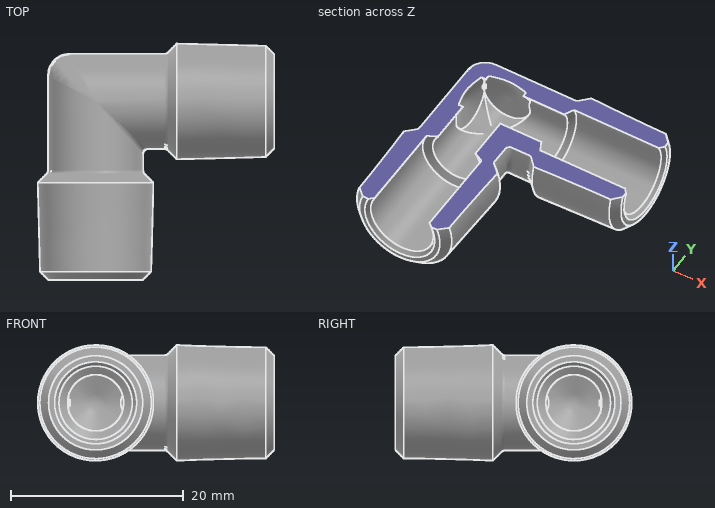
import cadquery as cq
import math

leg_length = 20.7
neck_radius = 5.53
collar_radius = 6.715
spigot_length = 11.3
spigot_taper = 1.43
end_chamfer = 1.0
neck_fillet = 0.5

outer_corner_radius = 2.5
inner_corner_radius = 0.5

bore_radius = 4.25
bore_depth = 12.0
floor_angle = 118.0
bore_chamfer = 0.5
drill_radius = 3.25
drill_overrun = 3.126
drill_point_angle = 140.0

collar_start = leg_length - spigot_length
shoulder_start = collar_start - (collar_radius - neck_radius)
seam_tolerance = 1e-6
clearance = 2 * leg_length


def revolve_about_x(half_profile):
    """Revolve an (axial, radial) half profile about the X axis."""
    return cq.Workplane("XY").polyline(half_profile).close().revolve(360, (0, 0, 0), (1, 0, 0))


def on_both_legs(leg_shape):
    """Unite a +X leg shape with its mirror image on the -Y leg."""
    second = leg_shape.rotate((0, 0, 0), (1, 0, 0), 180).rotate((0, 0, 0), (0, 0, 1), -90)
    return leg_shape.union(second)


def mitred_necks():
    """Two plain cylinders cut and joined on the mitre plane, with a sharp seam."""
    rod = (
        cq.Workplane("YZ")
        .workplane(offset=-neck_radius)
        .circle(neck_radius)
        .extrude(neck_radius + collar_start)
    )
    mitre_side = (
        cq.Workplane("XY")
        .polyline([(-clearance, clearance), (clearance, clearance), (clearance, -clearance)])
        .close()
        .extrude(clearance, both=True)
    )
    return on_both_legs(rod.intersect(mitre_side))


def round_seam(body, radius):
    """Fillet the elliptical seam edges lying on the mitre plane."""
    seam = [
        edge for edge in body.edges("%ELLIPSE").vals()
        if abs(edge.Center().x + edge.Center().y) < seam_tolerance
    ]
    return body.newObject(seam).fillet(radius)


def elbow():
    """Mitred necks with both sides of the seam rounded.

    The seam fades out tangentially above and below the origin, so the outer and
    inner corners are rounded as separate pieces and then joined.
    """
    necks = mitred_necks()
    inner_quadrant = (
        cq.Workplane("XY")
        .rect(clearance, -clearance, centered=False)
        .extrude(clearance, both=True)
    )
    outer_corner = round_seam(necks.cut(inner_quadrant), outer_corner_radius)
    inner_corner = round_seam(necks.intersect(inner_quadrant), inner_corner_radius)
    return outer_corner.union(inner_corner)


def neck_fillet_ring():
    """Concave ring that blends the neck into the 45 degree shoulder."""
    shoulder_angle = math.radians(45)
    setback = neck_fillet * math.tan(shoulder_angle / 2)
    ring_start = shoulder_start - setback
    arc_centre_radius = neck_radius + neck_fillet

    def arc_point(angle):
        return (
            ring_start + neck_fillet * math.sin(angle),
            arc_centre_radius - neck_fillet * math.cos(angle),
        )

    ring_end, ring_top = arc_point(shoulder_angle)
    return (
        cq.Workplane("XY")
        .moveTo(ring_start, 0)
        .lineTo(ring_start, neck_radius)
        .threePointArc(arc_point(shoulder_angle / 2), (ring_end, ring_top))
        .lineTo(ring_end, 0)
        .close()
        .revolve(360, (0, 0, 0), (1, 0, 0))
    )


def spigot():
    """Shoulder, tapered spigot and end chamfer of the +X leg."""
    chamfer_start = leg_length - end_chamfer
    taper_drop = (spigot_length - end_chamfer) * math.tan(math.radians(spigot_taper))
    chamfer_radius = collar_radius - taper_drop
    body = revolve_about_x([
        (shoulder_start, 0),
        (shoulder_start, neck_radius),
        (collar_start, collar_radius),
        (chamfer_start, chamfer_radius),
        (leg_length, chamfer_radius - end_chamfer),
        (leg_length, 0),
    ])
    return body.union(neck_fillet_ring())


def bore():
    """Chamfered bore and drilled passage of the +X leg."""
    floor_slope = math.tan(math.radians(floor_angle / 2))
    point_slope = math.tan(math.radians(drill_point_angle / 2))
    floor_start = leg_length - bore_depth
    floor_end = floor_start - (bore_radius - drill_radius) / floor_slope
    drill_tip = -drill_overrun - drill_radius / point_slope
    return revolve_about_x([
        (leg_length, 0),
        (leg_length, bore_radius + bore_chamfer),
        (leg_length - bore_chamfer, bore_radius),
        (floor_start, bore_radius),
        (floor_end, drill_radius),
        (-drill_overrun, drill_radius),
        (drill_tip, 0),
    ])


result = elbow().union(on_both_legs(spigot())).cut(on_both_legs(bore()))